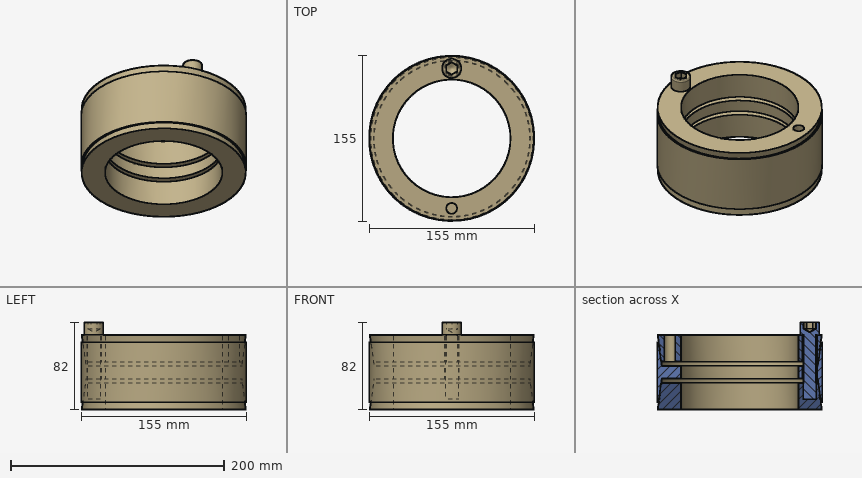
import cadquery as cq
import math


BORE_DIAMETER = 110.0
OUTER_RING_DIAMETER = 155.0
CONE_RING_HEIGHT = 25.0
CONE_LARGE_DIAMETER = 154.0
CONE_HALF_ANGLE = 8.0
CONE_PROTRUSION = 7.0
GAP = 4.0
WEB_HEIGHT = 12.0

WEB_BOTTOM = CONE_RING_HEIGHT + GAP
WEB_TOP = WEB_BOTTOM + WEB_HEIGHT
UPPER_RING_BOTTOM = WEB_TOP + GAP
TOTAL_HEIGHT = UPPER_RING_BOTTOM + CONE_RING_HEIGHT
OUTER_RING_BOTTOM = CONE_PROTRUSION
OUTER_RING_TOP = TOTAL_HEIGHT - CONE_PROTRUSION

BOLT_CIRCLE_RADIUS = 65.5
SHANK_DIAMETER = 12.0
SHANK_LENGTH = 60.0
CLEARANCE_DIAMETER = 13.5
JACKING_HOLE_DIAMETER = 10.11
HEAD_DIAMETER = 18.0
HEAD_HEIGHT = 12.0
HEAD_FILLET = 1.2
SOCKET_SIDES = 6
SOCKET_ACROSS_FLATS = 10.0
SOCKET_DEPTH = 6.0
SOCKET_TIP_ANGLE = 120.0

SHANK_BOTTOM = TOTAL_HEIGHT - SHANK_LENGTH


def cone_radius(depth):
    """Radius of the clamping cone at a depth below its large end face."""
    return CONE_LARGE_DIAMETER / 2 - depth * math.tan(math.radians(CONE_HALF_ANGLE))


def revolve_profile(points):
    """Revolve an (r, z) outline about the Z axis."""
    return cq.Workplane("XZ").polyline(points).close().revolve(360, (0, 0, 0), (0, 1, 0))


def cylinder(diameter, y, bottom, top):
    """Upright cylinder with its axis in the YZ plane, between two heights."""
    return cq.Workplane("XY", origin=(0, y, bottom)).circle(diameter / 2).extrude(top - bottom)


def make_cone_ring(large_face, small_face):
    """Clamping ring tapering from its large end face to its small end face."""
    bore = BORE_DIAMETER / 2
    return revolve_profile([
        (bore, large_face),
        (cone_radius(0), large_face),
        (cone_radius(CONE_RING_HEIGHT), small_face),
        (bore, small_face),
    ])


def make_upper_ring():
    ring = make_cone_ring(TOTAL_HEIGHT, UPPER_RING_BOTTOM)
    clearance = cylinder(CLEARANCE_DIAMETER, BOLT_CIRCLE_RADIUS, UPPER_RING_BOTTOM, TOTAL_HEIGHT)
    jacking = cylinder(JACKING_HOLE_DIAMETER, -BOLT_CIRCLE_RADIUS, UPPER_RING_BOTTOM, TOTAL_HEIGHT)
    return ring.cut(clearance).cut(jacking)


def make_lower_ring():
    ring = make_cone_ring(0, CONE_RING_HEIGHT)
    screw_hole = cylinder(SHANK_DIAMETER, BOLT_CIRCLE_RADIUS, SHANK_BOTTOM, CONE_RING_HEIGHT)
    return ring.cut(screw_hole)


def make_outer_ring():
    outer = OUTER_RING_DIAMETER / 2
    bore = BORE_DIAMETER / 2
    mouth = cone_radius(CONE_PROTRUSION)
    seat_end = cone_radius(CONE_RING_HEIGHT + GAP)
    ring = revolve_profile([
        (outer, OUTER_RING_BOTTOM),
        (outer, OUTER_RING_TOP),
        (mouth, OUTER_RING_TOP),
        (seat_end, WEB_TOP),
        (bore, WEB_TOP),
        (bore, WEB_BOTTOM),
        (seat_end, WEB_BOTTOM),
        (mouth, OUTER_RING_BOTTOM),
    ])
    return ring.cut(cylinder(CLEARANCE_DIAMETER, BOLT_CIRCLE_RADIUS, WEB_BOTTOM, WEB_TOP))


def make_socket():
    """Hexagonal socket with corners on +Y and -Y and a conical bottom."""
    head_top = TOTAL_HEIGHT + HEAD_HEIGHT
    corner_radius = SOCKET_ACROSS_FLATS / 2 / math.cos(math.pi / SOCKET_SIDES)
    tip_depth = corner_radius / math.tan(math.radians(SOCKET_TIP_ANGLE / 2))
    hexagon = (
        cq.Workplane("XY", origin=(0, 0, head_top))
        .transformed(rotate=(0, 0, 90))
        .polygon(SOCKET_SIDES, 2 * corner_radius)
        .extrude(-SOCKET_DEPTH - tip_depth)
    )
    drill = revolve_profile([
        (0, head_top),
        (corner_radius, head_top),
        (corner_radius, head_top - SOCKET_DEPTH),
        (0, head_top - SOCKET_DEPTH - tip_depth),
    ])
    return hexagon.intersect(drill).translate((0, BOLT_CIRCLE_RADIUS, 0))


def make_screw():
    head = cylinder(HEAD_DIAMETER, BOLT_CIRCLE_RADIUS, TOTAL_HEIGHT, TOTAL_HEIGHT + HEAD_HEIGHT)
    head = head.faces(">Z").edges().fillet(HEAD_FILLET)
    shank = cylinder(SHANK_DIAMETER, BOLT_CIRCLE_RADIUS, SHANK_BOTTOM, TOTAL_HEIGHT)
    return head.union(shank).cut(make_socket())


outer_ring = make_outer_ring()
upper_ring = make_upper_ring()
lower_ring = make_lower_ring()
screw = make_screw()

result = cq.Compound.makeCompound([
    outer_ring.solids().val(),
    upper_ring.solids().val(),
    lower_ring.solids().val(),
    screw.solids().val(),
])